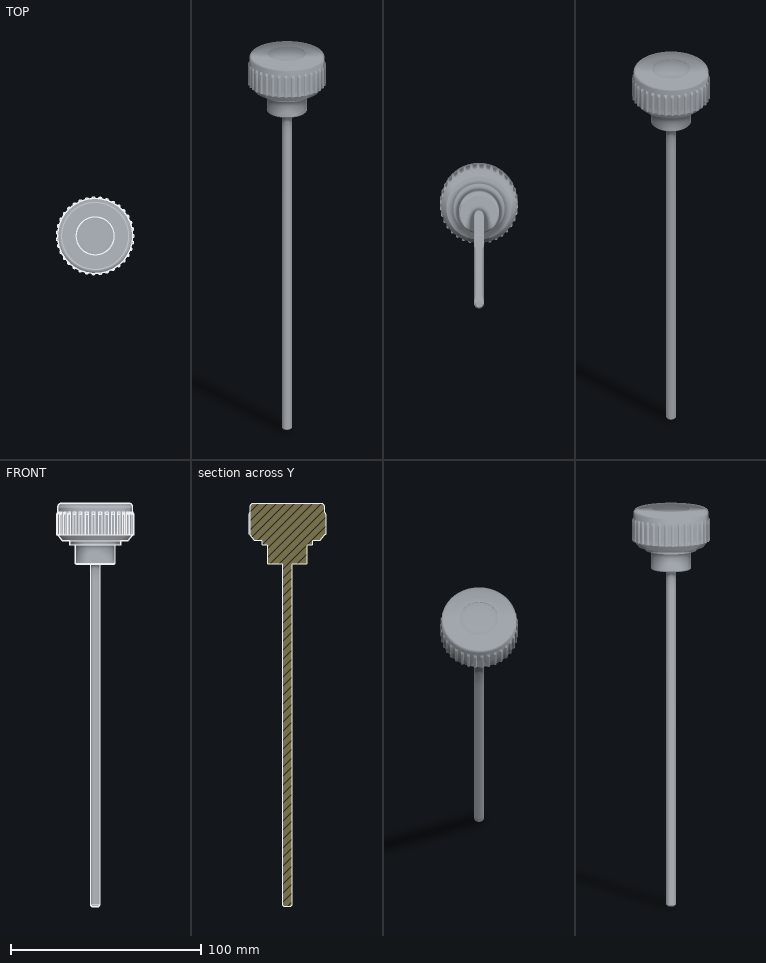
import cadquery as cq
import math

total_length = 212.0
bottom_z = 0.0
top_z = bottom_z + total_length

head_dia = 39.5
head_height = 16.7
head_edge_fillet = 2.1
emblem_dia = 20.0
emblem_depth = 0.2

rib_count = 35
rib_height = 0.78
rib_width = 1.7
rib_setback = 4.7
rib_lead_in = 1.5

skirt_bottom_dia = 34.3
skirt_height = 3.2
collar_dia = 27.0
collar_height = 2.1

neck_dia = 21.0
neck_height = 10.2
neck_chamfer = 0.53

rod_dia = 5.0
rod_tip_chamfer = 0.8

head_bottom_z = top_z - head_height
skirt_bottom_z = head_bottom_z - skirt_height
collar_bottom_z = skirt_bottom_z - collar_height
neck_bottom_z = collar_bottom_z - neck_height
rib_top_z = top_z - rib_setback


def cylinder(diameter, lower_z, upper_z):
    """Solid cylinder on the Z axis between two heights."""
    base = cq.Workplane("XY").workplane(offset=lower_z)
    return base.circle(diameter / 2).extrude(upper_z - lower_z)


def make_head():
    """Round cap with a filleted top edge, a tapered skirt and a shallow emblem recess."""
    cap = cylinder(head_dia, head_bottom_z, top_z).faces(">Z").edges().fillet(head_edge_fillet)
    skirt = (
        cq.Workplane("XY")
        .workplane(offset=skirt_bottom_z)
        .circle(skirt_bottom_dia / 2)
        .workplane(offset=head_bottom_z - skirt_bottom_z)
        .circle(head_dia / 2)
        .loft(ruled=True)
    )
    recess = cylinder(emblem_dia, top_z - emblem_depth, top_z)
    return cap.union(skirt).cut(recess)


def make_ribs():
    """Ring of rounded grip ribs, sloped down to the cap surface at their upper ends."""
    head_radius = head_dia / 2
    tip_radius = head_radius + rib_height
    half_width = rib_width / 2
    flank_x = math.sqrt(head_radius**2 - half_width**2)
    root_x = head_radius - rib_width
    rib = (
        cq.Workplane("XY")
        .workplane(offset=head_bottom_z)
        .moveTo(root_x, -half_width)
        .lineTo(flank_x, -half_width)
        .threePointArc((tip_radius, 0), (flank_x, half_width))
        .lineTo(root_x, half_width)
        .close()
        .extrude(rib_top_z - head_bottom_z)
    )
    envelope = (
        cq.Workplane("XZ")
        .moveTo(0, head_bottom_z)
        .lineTo(tip_radius, head_bottom_z)
        .lineTo(tip_radius, rib_top_z - rib_lead_in)
        .lineTo(head_radius, rib_top_z)
        .lineTo(0, rib_top_z)
        .close()
        .revolve(360, (0, 0), (0, 1))
    )
    rib = rib.intersect(envelope)
    ribs = cq.Workplane("XY")
    for index in range(rib_count):
        ribs = ribs.add(rib.rotate((0, 0, 0), (0, 0, 1), index * 360 / rib_count))
    return ribs.combine()


collar = cylinder(collar_dia, collar_bottom_z, skirt_bottom_z)
neck = cylinder(neck_dia, neck_bottom_z, collar_bottom_z).faces("<Z").edges().chamfer(neck_chamfer)
rod = cylinder(rod_dia, bottom_z, neck_bottom_z).faces("<Z").edges().chamfer(rod_tip_chamfer)

result = make_head().union(make_ribs()).union(collar).union(neck).union(rod)